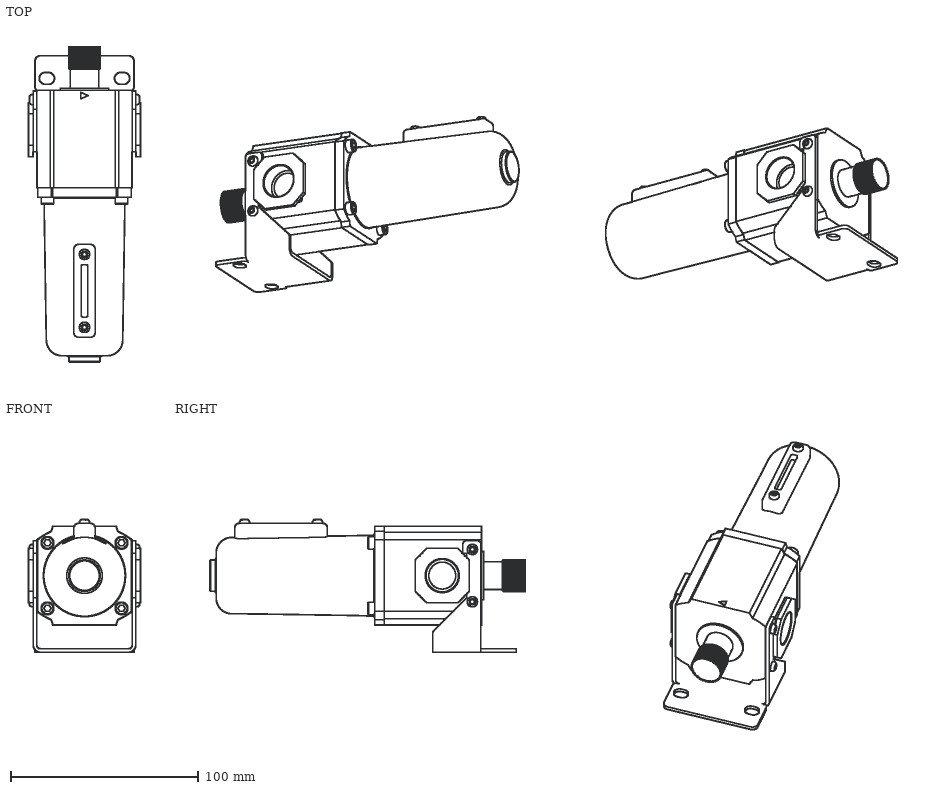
import cadquery as cq
import math


housing_rear_y = 21.1
flange_rear_y = -31.1
flange_front_y = -36.2
block_half_height = 26.5
housing_half_width = 25.5
flange_half_width = 25.0
corner_bulge = 0.4
housing_top_half_width = 16.4
housing_notch = (18.2, 23.1)
flange_top_half_width = 17.0
flange_notch = (17.8, 23.7)
shoulder_z = 19.1

bolt_x = 19.8
bolt_z = 17.5
bolt_head_radius = 3.4
bolt_head_height = 3.6
bolt_head_chamfer = 0.4
bolt_socket_diameter = 3.8
bolt_socket_depth = 2.0

port_face_x = 30.0
port_plate_thickness = 2.5
port_plate_size = 29.0
port_plate_chamfer = 6.1
port_boss_size = 23.8
port_boss_corner = 1.5
port_radius = 8.7
port_chamfer = 0.4
port_depth = 10.0
port_drill_radius = 7.2
port_drill_angle = 118.0

collar_radius = 13.0
collar_thickness = 1.1
stem_radius = 7.5
knob_radius = 8.5
knob_front_y = 32.2
knob_rear_y = 44.3
knob_chamfer = 0.6
knob_groove_count = 30
knob_groove_width = 0.8
knob_groove_depth = 0.5

arrow_y = 18.2
arrow_length = 3.9
arrow_half_width = 1.7
arrow_depth = 0.2

bowl_collar_radius = 22.0
bowl_collar_height = 0.5
bowl_mouth_radius = 21.7
bowl_end_radius = 20.5
bowl_round = 8.5
bowl_end_y = -120.9
cap_end_y = -124.2
cap_radius = 8.4
cap_flare_radius = 9.5
cap_flare_height = 0.5
cap_chamfer = 0.5

sight_center_y = -86.15
sight_length = 49.6
sight_width = 11.4
sight_base_z = 15.0
sight_top_z = 28.0
sight_round = 2.5
window_length = 28.0
window_width = 3.7
window_corner = 1.0
window_depth = 4.0
sight_screw_pitch = 39.0

head_radius = 2.75
head_height = 2.0
head_rim_height = 0.5
head_top_radius = 1.7
head_dome_bulge = 0.2
head_socket_diameter = 2.6
head_socket_depth = 1.0
shank_radius = 1.5
shank_length = 8.0

sheet = 2.0
bracket_half_width = housing_half_width + sheet
bracket_bottom_z = -41.0
bracket_top_z = 18.7
bracket_rear_y = 20.7
bracket_front_y = -5.2
bracket_lobe_y = 11.0
bracket_column_y = 13.1
bracket_slope_top_z = -11.8
lobe_corner = 2.0
foot_corner = 2.0
bend_radius = 4.0
tab_rear_y = 39.6
tab_half_width = 26.5
tab_rear_corner = 3.0
tab_front_corner = 2.0
slot_x = 20.1
slot_y = 27.4
slot_length = 8.0
slot_width = 6.2
bracket_screw_y = 16.1
bracket_screw_z = 14.0


def notched_block(half_width, top_half_width, notch, rear_y, front_y):
    """Block along Y with a notch (x, z) at each corner, then a bowed slope down to the side at shoulder_z."""
    notch_x, notch_z = notch
    chord_x = half_width - notch_x
    chord_z = notch_z - shoulder_z
    chord = math.hypot(chord_x, chord_z)
    bow_x = (notch_x + half_width) / 2 + corner_bulge * chord_z / chord
    bow_z = (notch_z + shoulder_z) / 2 + corner_bulge * chord_x / chord
    return (
        cq.Workplane("XZ", origin=(0, rear_y, 0))
        .moveTo(-top_half_width, block_half_height)
        .lineTo(top_half_width, block_half_height)
        .lineTo(notch_x, notch_z)
        .threePointArc((bow_x, bow_z), (half_width, shoulder_z))
        .lineTo(half_width, -shoulder_z)
        .threePointArc((bow_x, -bow_z), (notch_x, -notch_z))
        .lineTo(top_half_width, -block_half_height)
        .lineTo(-top_half_width, -block_half_height)
        .lineTo(-notch_x, -notch_z)
        .threePointArc((-bow_x, -bow_z), (-half_width, -shoulder_z))
        .lineTo(-half_width, shoulder_z)
        .threePointArc((-bow_x, bow_z), (-notch_x, notch_z))
        .close()
        .extrude(rear_y - front_y)
    )


def turned_about_y(points):
    """Solid of revolution about the Y axis from (radius, y) points."""
    return cq.Workplane("XY").polyline(points).close().revolve(360, (0, 0, 0), (0, 1, 0))


def make_flange_bolt_head():
    head = cq.Workplane("XZ").circle(bolt_head_radius).extrude(bolt_head_height)
    head = head.faces("<Y").chamfer(bolt_head_chamfer)
    return head.faces("<Y").workplane().polygon(6, bolt_socket_diameter).cutBlind(-bolt_socket_depth)


def make_port_boss():
    """Square boss and octagonal plate on the -X side."""
    boss_depth = port_face_x - port_plate_thickness - housing_half_width
    plate_inner_x = port_face_x - port_plate_thickness
    boss = (
        cq.Workplane("YZ", origin=(-plate_inner_x, 0, 0))
        .rect(port_boss_size, port_boss_size)
        .extrude(boss_depth)
        .edges("|X")
        .fillet(port_boss_corner)
    )
    plate = (
        cq.Workplane("YZ", origin=(-port_face_x, 0, 0))
        .rect(port_plate_size, port_plate_size)
        .extrude(port_plate_thickness)
        .edges("|X")
        .chamfer(port_plate_chamfer)
    )
    return boss.union(plate)


def make_port_hole():
    """Chamfered bore with a conical drill point, entering from the -X side."""
    floor_x = -port_face_x + port_depth
    tip_x = floor_x + port_drill_radius / math.tan(math.radians(port_drill_angle / 2))
    return (
        cq.Workplane("XY")
        .polyline([
            (-port_face_x, 0),
            (-port_face_x, port_radius + port_chamfer),
            (-port_face_x + port_chamfer, port_radius),
            (floor_x, port_radius),
            (floor_x, port_drill_radius),
            (tip_x, 0),
        ])
        .close()
        .revolve(360, (0, 0, 0), (1, 0, 0))
    )


def make_knob():
    """Collar, stem and fluted knob on the rear face."""
    collar_rear_y = housing_rear_y + collar_thickness
    knob = turned_about_y([
        (0, housing_rear_y),
        (collar_radius, housing_rear_y),
        (collar_radius, collar_rear_y),
        (stem_radius, collar_rear_y),
        (stem_radius, knob_front_y),
        (knob_radius - knob_chamfer, knob_front_y),
        (knob_radius, knob_front_y + knob_chamfer),
        (knob_radius, knob_rear_y),
        (0, knob_rear_y),
    ])
    flutes = (
        cq.Workplane("XZ", origin=(0, knob_rear_y, 0))
        .polarArray(knob_radius, 0, 360, knob_groove_count)
        .rect(2 * knob_groove_depth, knob_groove_width)
        .extrude(knob_rear_y - knob_front_y)
    )
    return knob.cut(flutes)


def make_arrow():
    return (
        cq.Workplane("XY", origin=(0, arrow_y, block_half_height))
        .polyline([
            (-arrow_length / 2, arrow_half_width),
            (arrow_length / 2, 0),
            (-arrow_length / 2, -arrow_half_width),
        ])
        .close()
        .extrude(-arrow_depth)
    )


def make_button_head():
    """Domed screw head standing on the XY plane."""
    dome_width = head_radius - head_top_radius
    dome_height = head_height - head_rim_height
    chord = math.hypot(dome_width, dome_height)
    arc_radius = (head_radius + head_top_radius) / 2 + head_dome_bulge * dome_height / chord
    arc_z = (head_rim_height + head_height) / 2 + head_dome_bulge * dome_width / chord
    return (
        cq.Workplane("XZ")
        .lineTo(head_radius, 0)
        .lineTo(head_radius, head_rim_height)
        .threePointArc((arc_radius, arc_z), (head_top_radius, head_height))
        .lineTo(0, head_height)
        .close()
        .revolve(360, (0, 0, 0), (0, 1, 0))
        .faces(">Z")
        .workplane()
        .polygon(6, head_socket_diameter)
        .cutBlind(-head_socket_depth)
    )


def make_shank():
    return cq.Workplane("XY").circle(shank_radius).extrude(-shank_length)


def at_bracket_screws(shape):
    """Copies of a shape built along +Z, turned to point outward at the four bracket screw positions."""
    copies = []
    for side in (-1, 1):
        turned = shape.rotate((0, 0, 0), (0, 1, 0), side * 90)
        for z in (-bracket_screw_z, bracket_screw_z):
            copies.append(turned.translate((side * bracket_half_width, bracket_screw_y, z)))
    return copies


def make_housing():
    housing = notched_block(
        housing_half_width, housing_top_half_width, housing_notch, housing_rear_y, flange_rear_y
    )
    boss = make_port_boss()
    hole = make_port_hole()
    housing = housing.union(boss).union(boss.mirror("YZ"))
    housing = housing.cut(hole).cut(hole.mirror("YZ"))
    housing = housing.union(make_knob()).cut(make_arrow())
    for shank in at_bracket_screws(make_shank()):
        housing = housing.cut(shank)
    return housing


def make_sight_gauge():
    gauge = (
        cq.Workplane("XY", origin=(0, sight_center_y, sight_base_z))
        .rect(sight_width, sight_length)
        .extrude(sight_top_z - sight_base_z)
        .edges("|Z")
        .fillet(sight_round)
        .faces(">Z")
        .edges()
        .fillet(sight_round)
    )
    head = make_button_head()
    for offset in (-sight_screw_pitch / 2, sight_screw_pitch / 2):
        gauge = gauge.union(head.translate((0, sight_center_y + offset, sight_top_z)))
    return gauge


def make_sight_window():
    return (
        cq.Workplane("XY", origin=(0, sight_center_y, sight_top_z - window_depth))
        .rect(window_width, window_length)
        .extrude(window_depth)
        .edges("|Z")
        .fillet(window_corner)
    )


def make_bowl_flange():
    """Clamping flange with its four bolt heads."""
    flange = notched_block(
        flange_half_width, flange_top_half_width, flange_notch, flange_rear_y, flange_front_y
    )
    bolt_head = make_flange_bolt_head()
    for x in (-bolt_x, bolt_x):
        for z in (-bolt_z, bolt_z):
            flange = flange.union(bolt_head.translate((x, flange_front_y, z)))
    return flange


def make_bowl_shell():
    """Collar, tapered wall and rounded end."""
    collar_end_y = flange_front_y - bowl_collar_height
    round_start_y = bowl_end_y + bowl_round
    round_center_radius = bowl_end_radius - bowl_round
    diagonal = bowl_round * math.sqrt(0.5)
    return (
        cq.Workplane("XY")
        .moveTo(0, flange_front_y)
        .lineTo(bowl_collar_radius, flange_front_y)
        .lineTo(bowl_collar_radius, collar_end_y)
        .lineTo(bowl_mouth_radius, collar_end_y)
        .lineTo(bowl_end_radius, round_start_y)
        .threePointArc(
            (round_center_radius + diagonal, round_start_y - diagonal),
            (round_center_radius, bowl_end_y),
        )
        .lineTo(0, bowl_end_y)
        .close()
        .revolve(360, (0, 0, 0), (0, 1, 0))
    )


def make_bowl_cap():
    return turned_about_y([
        (0, bowl_end_y),
        (cap_flare_radius, bowl_end_y),
        (cap_radius, bowl_end_y - cap_flare_height),
        (cap_radius, cap_end_y + cap_chamfer),
        (cap_radius - cap_chamfer, cap_end_y),
        (0, cap_end_y),
    ])


def make_bowl():
    bowl = make_bowl_flange().union(make_bowl_shell()).union(make_bowl_cap())
    return bowl.union(make_sight_gauge()).cut(make_sight_window())


def make_bracket():
    height = bracket_top_z - bracket_bottom_z
    depth = bracket_rear_y - bracket_front_y
    middle_z = (bracket_top_z + bracket_bottom_z) / 2
    outer = (
        cq.Workplane("XZ", origin=(0, bracket_rear_y, middle_z))
        .rect(2 * bracket_half_width, height)
        .extrude(depth)
        .edges("|Y and <Z")
        .fillet(bend_radius)
    )
    inner = (
        cq.Workplane("XZ", origin=(0, bracket_rear_y, middle_z + sheet))
        .rect(2 * housing_half_width, height)
        .extrude(depth)
        .edges("|Y and <Z")
        .fillet(bend_radius - sheet)
    )
    boss_top_z = port_boss_size / 2
    slope_bottom_z = bracket_slope_top_z - (bracket_column_y - bracket_front_y)
    side = (
        cq.Workplane("YZ", origin=(-bracket_half_width, 0, 0))
        .polyline([
            (bracket_rear_y, bracket_bottom_z),
            (bracket_front_y, bracket_bottom_z),
            (bracket_front_y, slope_bottom_z),
            (bracket_column_y, bracket_slope_top_z),
            (bracket_column_y, boss_top_z),
            (bracket_lobe_y, boss_top_z),
            (bracket_lobe_y, bracket_top_z),
            (bracket_rear_y, bracket_top_z),
        ])
        .close()
        .extrude(2 * bracket_half_width)
        .edges("|X and >Z")
        .fillet(lobe_corner)
    )
    foot_edge = cq.selectors.NearestToPointSelector((0, bracket_front_y, slope_bottom_z))
    side = side.edges("|X").edges(foot_edge).fillet(foot_corner)
    bracket = outer.cut(inner).intersect(side)

    tab_length = tab_rear_y - bracket_rear_y
    tab = (
        cq.Workplane("XY", origin=(0, bracket_rear_y + tab_length / 2, bracket_bottom_z))
        .rect(2 * tab_half_width, tab_length)
        .extrude(sheet)
    )
    tab = tab.edges("|Z and >Y").fillet(tab_rear_corner)
    tab = tab.edges("|Z and <Y").fillet(tab_front_corner)
    slots = (
        cq.Workplane("XY", origin=(0, slot_y, bracket_bottom_z))
        .pushPoints([(-slot_x, 0), (slot_x, 0)])
        .slot2D(slot_length, slot_width)
        .extrude(sheet)
    )
    bracket = bracket.union(tab.cut(slots))
    for shank in at_bracket_screws(make_shank()):
        bracket = bracket.cut(shank)
    return bracket


def make_bracket_screws():
    return at_bracket_screws(make_button_head().union(make_shank()))


housing = make_housing()
bowl = make_bowl()
bracket = make_bracket()
bracket_screws = make_bracket_screws()

result = cq.Compound.makeCompound([
    housing.val(),
    bowl.val(),
    bracket.val(),
    *[screw.val() for screw in bracket_screws],
])